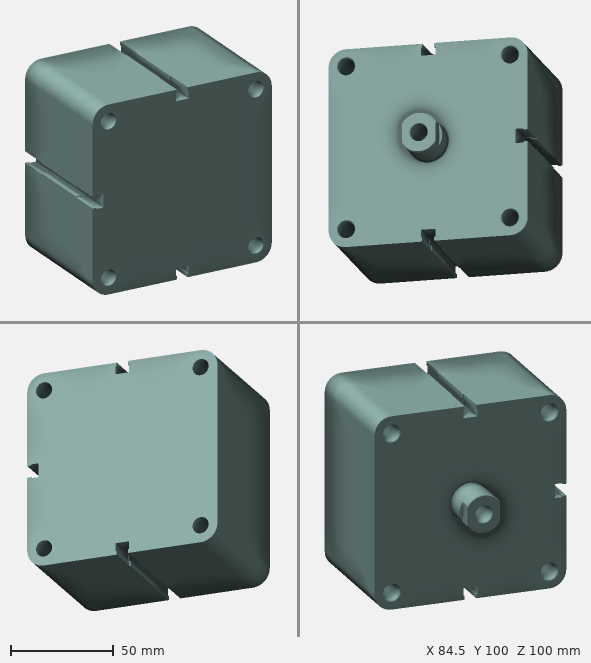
import cadquery as cq

SIDE = 100.0
CORNER_RADIUS = 8.8
OVERALL_LENGTH = 84.5
ROD_PROJECTION = 17.9
CAP_LENGTH = 16.6

BOLT_PITCH = 82.3
BOLT_HOLE_DIAMETER = 8.4
BOLT_HOLE_CHAMFER = 0.5

SLOT_DEPTH = 6.0
CAP_SLOT_MOUTH = 6.0
CAP_SLOT_WIDTH = 7.2
CAP_SLOT_LIP = 2.0
BARREL_SLOT_MOUTH = 5.3
BARREL_SLOT_WIDTH = 6.8
BARREL_SLOT_LIP = 2.5

ROD_DIAMETER = 20.0
ROD_CHAMFER = 0.5
BORE_CHAMFER = 0.6
FLAT_SPACING = 17.0
FLAT_LENGTH = 6.4
FLAT_RUNOUT = 0.4
ROD_HOLE_DIAMETER = 8.6
ROD_HOLE_CHAMFER = 0.4
ROD_HOLE_DEPTH = 20.0
DRILL_TIP_LENGTH = 2.5

FRONT_FACE = 0.0
ROD_TIP = FRONT_FACE - ROD_PROJECTION
BARREL_FRONT = FRONT_FACE + CAP_LENGTH
REAR_FACE = ROD_TIP + OVERALL_LENGTH
BARREL_REAR = REAR_FACE - CAP_LENGTH


def slot_cutter(start, length, mouth, width, lip):
    """T-slot cutter in the +Z face, running along X from start."""
    face = SIDE / 2
    floor = face - SLOT_DEPTH
    undercut_top = face - lip
    profile = (
        cq.Workplane("YZ", origin=(start, 0, 0))
        .polyline([
            (-mouth / 2, face),
            (-mouth / 2, undercut_top),
            (-width / 2, undercut_top),
            (-width / 2, floor),
            (width / 2, floor),
            (width / 2, undercut_top),
            (mouth / 2, undercut_top),
            (mouth / 2, face),
        ])
        .close()
    )
    return profile.extrude(length)


def slotted_block(start, end, mouth, width, lip):
    """Rounded square block with four bolt holes and T-slots in its +Z, -Y and -Z faces."""
    length = end - start
    profile = cq.Workplane("YZ", origin=(start, 0, 0))
    block = profile.rect(SIDE, SIDE).extrude(length).edges("|X").fillet(CORNER_RADIUS)
    bolt_holes = (
        profile.rect(BOLT_PITCH, BOLT_PITCH, forConstruction=True)
        .vertices()
        .circle(BOLT_HOLE_DIAMETER / 2)
        .extrude(length)
    )
    block = block.cut(bolt_holes)
    cutter = slot_cutter(start, length, mouth, width, lip)
    for angle in (0, 90, 180):
        block = block.cut(cutter.rotate((0, 0, 0), (1, 0, 0), angle))
    return block


def cap(start, end):
    return slotted_block(start, end, CAP_SLOT_MOUTH, CAP_SLOT_WIDTH, CAP_SLOT_LIP)


def countersink(center_y, center_z, face_x, diameter, size):
    """45-degree cone for the mouth of a hole that opens toward -X."""
    radius = diameter / 2
    cone = cq.Solid.makeCone(
        radius + size, radius, size, pnt=cq.Vector(face_x, center_y, center_z), dir=cq.Vector(1, 0, 0)
    )
    return cq.Workplane(cone)


def make_front_cap():
    front_cap = cap(FRONT_FACE, BARREL_FRONT)
    for y in (-BOLT_PITCH / 2, BOLT_PITCH / 2):
        for z in (-BOLT_PITCH / 2, BOLT_PITCH / 2):
            front_cap = front_cap.cut(countersink(y, z, FRONT_FACE, BOLT_HOLE_DIAMETER, BOLT_HOLE_CHAMFER))
    rod_bore = cq.Workplane("YZ").circle(ROD_DIAMETER / 2).extrude(CAP_LENGTH)
    bore_mouth = countersink(0, 0, FRONT_FACE, ROD_DIAMETER, BORE_CHAMFER)
    return front_cap.cut(rod_bore).cut(bore_mouth)


def make_barrel():
    return slotted_block(
        BARREL_FRONT, BARREL_REAR, BARREL_SLOT_MOUTH, BARREL_SLOT_WIDTH, BARREL_SLOT_LIP
    )


def make_rear_cap():
    return cap(BARREL_REAR, REAR_FACE)


def flat_cutter():
    """Cutter for the wrench flat on the +Y side; its inner end slopes outward."""
    inner = FLAT_SPACING / 2
    outer = ROD_DIAMETER / 2
    return (
        cq.Workplane("XY")
        .polyline([
            (ROD_TIP, inner),
            (ROD_TIP + FLAT_LENGTH, inner),
            (ROD_TIP + FLAT_LENGTH + FLAT_RUNOUT, outer),
            (ROD_TIP, outer),
        ])
        .close()
        .extrude(ROD_DIAMETER / 2, both=True)
    )


def rod_hole():
    """Blind hole in the rod tip with a drill-point bottom and a chamfered mouth."""
    radius = ROD_HOLE_DIAMETER / 2
    return (
        cq.Workplane("XY")
        .polyline([
            (ROD_TIP, 0),
            (ROD_TIP, radius + ROD_HOLE_CHAMFER),
            (ROD_TIP + ROD_HOLE_CHAMFER, radius),
            (ROD_TIP + ROD_HOLE_DEPTH, radius),
            (ROD_TIP + ROD_HOLE_DEPTH + DRILL_TIP_LENGTH, 0),
        ])
        .close()
        .revolve(360, (0, 0, 0), (1, 0, 0))
    )


def make_rod():
    rod = (
        cq.Workplane("YZ", origin=(ROD_TIP, 0, 0))
        .circle(ROD_DIAMETER / 2)
        .extrude(BARREL_FRONT - ROD_TIP)
        .faces("<X")
        .chamfer(ROD_CHAMFER)
    )
    flat = flat_cutter()
    return rod.cut(flat).cut(flat.mirror("XZ")).cut(rod_hole())


front_cap = make_front_cap()
barrel = make_barrel()
rear_cap = make_rear_cap()
rod = make_rod()

result = cq.Compound.makeCompound([front_cap.val(), barrel.val(), rear_cap.val(), rod.val()])